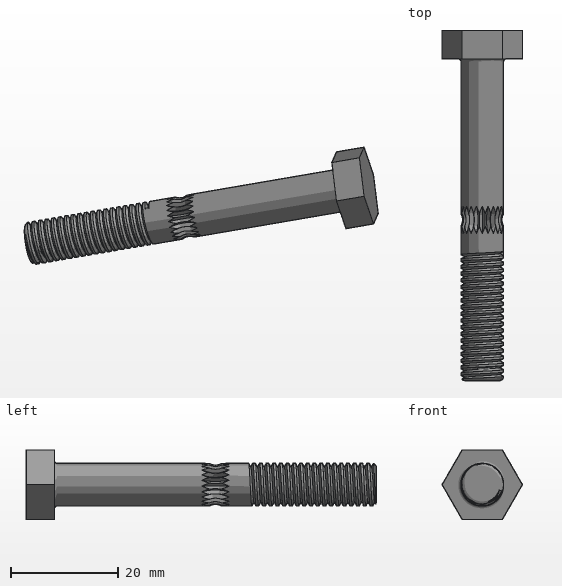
import cadquery as cq
import math


across_flats = 13.0
head_height = 5.3
shank_diameter = 8.0
shank_length = 60.0
under_head_fillet = 0.5
tip_fillet = 0.86

serration_count = 23
first_serration_angle = 90.0
serration_centre = 30.0
serration_root_radius = 2.97
serration_disc_radius = 3.55
serration_v_angle = 72.0

thread_pitch = 1.25
thread_turns = 18.95
thread_start = 36.25
thread_depth = 0.7
thread_v_angle = 60.0

cutter_clearance = 0.2

shank_radius = shank_diameter / 2
cutter_base_radius = shank_radius + cutter_clearance
across_corners = across_flats / math.cos(math.pi / 6)
thread_length = thread_turns * thread_pitch


def v_half_width(root_radius, v_angle):
    """Half the width of a V at the cutter base, for a V with its point at root_radius."""
    return (cutter_base_radius - root_radius) * math.tan(math.radians(v_angle / 2))


def make_blank():
    """Hexagonal head and plain shank, filleted under the head and at the tip."""
    head = cq.Workplane("XY").polygon(6, across_corners).extrude(-head_height)
    shank = cq.Workplane("XY").circle(shank_radius).extrude(shank_length)
    shank = shank.faces(">Z").edges().fillet(tip_fillet)
    fillet_ring = (
        cq.Workplane("XZ")
        .lineTo(shank_radius + under_head_fillet, 0)
        .radiusArc((shank_radius, under_head_fillet), under_head_fillet)
        .lineTo(0, under_head_fillet)
        .close()
        .revolve(360, (0, 0), (0, 1))
    )
    return head.union(shank).union(fillet_ring)


def thread_cutter():
    """Right-hand helical V groove that starts at +X and runs out over the tip fillet."""
    root_radius = shank_radius - thread_depth
    half_width = v_half_width(root_radius, thread_v_angle)
    helix = cq.Wire.makeHelix(thread_pitch, thread_length, shank_radius, cq.Vector(0, 0, thread_start))
    return (
        cq.Workplane("XZ")
        .moveTo(root_radius, thread_start)
        .lineTo(cutter_base_radius, thread_start + half_width)
        .lineTo(cutter_base_radius, thread_start - half_width)
        .close()
        .sweep(helix, isFrenet=True)
    )


def serration_cutter():
    """V-edged ring whose axis lies across the shank, reaching the root radius at +X."""
    disc_axis = serration_root_radius + serration_disc_radius
    half_width = v_half_width(serration_root_radius, serration_v_angle)
    return (
        cq.Workplane("XY", origin=(0, 0, serration_centre))
        .moveTo(serration_root_radius, 0)
        .lineTo(cutter_base_radius, half_width)
        .lineTo(cutter_base_radius, -half_width)
        .close()
        .revolve(360, (disc_axis, 0), (disc_axis, 1))
    )


def cut_serrations(body):
    """Cut the serrations at equal steps around the shank."""
    cutter = serration_cutter()
    for index in range(serration_count):
        turn = first_serration_angle + index * 360 / serration_count
        body = body.cut(cutter.rotate((0, 0, 0), (0, 0, 1), turn))
    return body


threaded_bolt = make_blank().cut(thread_cutter())
bolt = cut_serrations(threaded_bolt)
result = bolt.rotate((0, 0, 0), (1, 0, 0), 90)